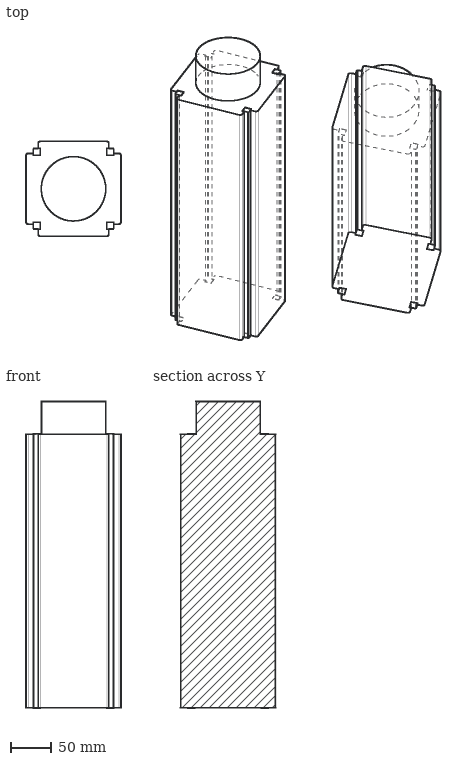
import cadquery as cq

body_width = 118.0
body_height = 339.5
corner_count = 4
corner_notch = 15.0
edge_radius = 3.0
spigot_diameter = 80.0
spigot_height = 40.5
strip_size = 8.5
strip_inset = 9.0
strip_overhang = 0.5
strip_chamfer = 1.0

arm_width = body_width - 2 * corner_notch
strip_center = body_width / 2 - strip_inset - strip_size / 2
strip_length = body_height + 2 * strip_overhang


def make_arm(size_x, size_y):
    """Full-height rectangular bar with rounded vertical edges."""
    bar = cq.Workplane("XY").rect(size_x, size_y).extrude(body_height)
    return bar.edges("|Z").fillet(edge_radius)


def make_body():
    """Cross-shaped column formed by two crossing bars."""
    return make_arm(body_width, arm_width).union(make_arm(arm_width, body_width))


def make_strip(angle):
    """Square strip in one corner notch, outer edge chamfered, standing proud at both ends."""
    strip = (
        cq.Workplane("XY")
        .workplane(offset=-strip_overhang)
        .center(strip_center, strip_center)
        .rect(strip_size, strip_size)
        .extrude(strip_length)
    )
    chamfered = strip.edges("|Z").edges(">(1, 1, 0)").chamfer(strip_chamfer)
    return chamfered.rotate((0, 0, 0), (0, 0, 1), angle)


def make_spigot():
    """Round spigot on the top face."""
    return (
        cq.Workplane("XY")
        .workplane(offset=body_height)
        .circle(spigot_diameter / 2)
        .extrude(spigot_height)
    )


result = make_body().union(make_spigot())
for corner in range(corner_count):
    result = result.union(make_strip(corner * 360 / corner_count))